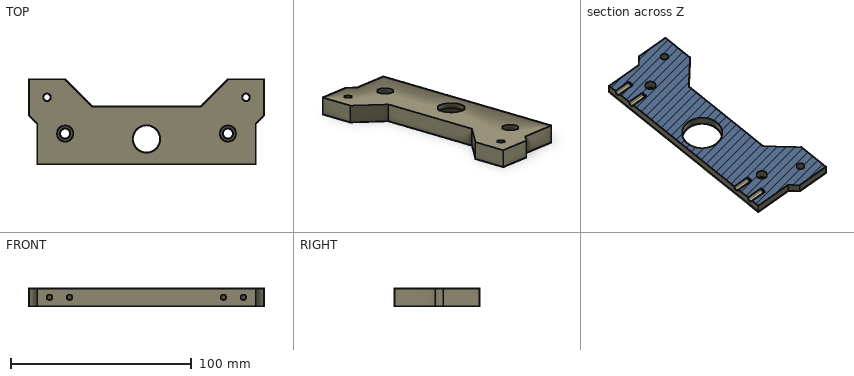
import cadquery as cq

length = 130.0
depth = 47.0
thickness = 10.0
half_length = length / 2
shoulder_step = 4.5
ear_side_length = 20.0
ear_width = 20.0
notch_depth = 15.0

ear_hole_diameter = 4.0
ear_hole_inset = 10.0

mount_hole_diameter = 5.5
mount_bore_diameter = 9.0
mount_bore_depth = 5.0
mount_x = 45.0
mount_y = 17.0

center_hole_diameter = 15.0
center_recess_diameter = 22.0
center_lip_thickness = 3.0
center_y = 14.0

edge_hole_diameter = 3.0
edge_hole_depth = 10.0
edge_hole_distances = (42.5, 53.5)


def make_plate():
    shoulder_y = depth - ear_side_length
    body_half_length = half_length - shoulder_step
    notch_top_x = half_length - ear_width
    right_half = [
        (body_half_length, 0),
        (body_half_length, shoulder_y - shoulder_step),
        (half_length, shoulder_y),
        (half_length, depth),
        (notch_top_x, depth),
        (notch_top_x - notch_depth, depth - notch_depth),
    ]
    left_half = [(-x, y) for x, y in reversed(right_half)]
    return cq.Workplane("XY").polyline(right_half + left_half).close().extrude(thickness)


def vertical_holes(points, diameter, bottom, height):
    return (
        cq.Workplane("XY", origin=(0, 0, bottom))
        .pushPoints(points)
        .circle(diameter / 2)
        .extrude(height)
    )


def mirrored(x, y):
    return [(-x, y), (x, y)]


def edge_holes():
    points = [p for x in edge_hole_distances for p in mirrored(x, thickness / 2)]
    return (
        cq.Workplane("XZ")
        .pushPoints(points)
        .circle(edge_hole_diameter / 2)
        .extrude(-edge_hole_depth)
    )


ear_points = mirrored(half_length - ear_hole_inset, depth - ear_hole_inset)
mount_points = mirrored(mount_x, mount_y)
center_point = [(0, center_y)]
mount_floor = thickness - mount_bore_depth
center_recess_depth = thickness - center_lip_thickness

result = (
    make_plate()
    .cut(vertical_holes(ear_points, ear_hole_diameter, 0, thickness))
    .cut(vertical_holes(mount_points, mount_hole_diameter, 0, thickness))
    .cut(vertical_holes(mount_points, mount_bore_diameter, mount_floor, mount_bore_depth))
    .cut(vertical_holes(center_point, center_hole_diameter, 0, thickness))
    .cut(vertical_holes(center_point, center_recess_diameter, 0, center_recess_depth))
    .cut(edge_holes())
)